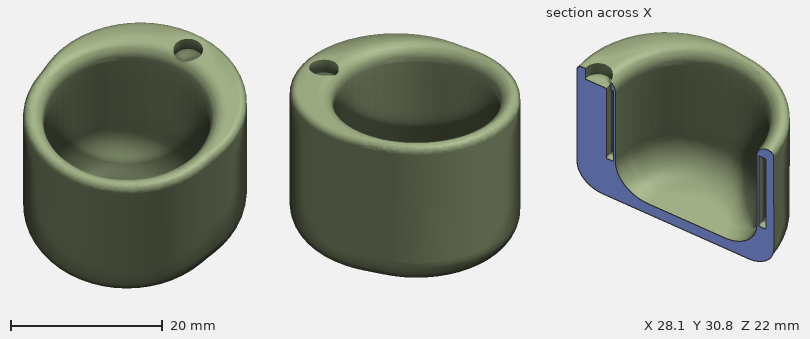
import cadquery as cq
import math

height = 22.0
front_radius = 13.7
back_radius = 14.04
back_center_y = 3.02
blend_radius = 50.0
base_fillet = 4.0
rim_fillet = 1.0

well_radius = 11.0
well_floor_z = 2.0
well_floor_fillet = 5.0
mouth_fillet = 2.0

pocket_diameter = 3.9
pocket_center_y = 13.7
pocket_depth = 2.0

channel_inner_diameter = 22.8
channel_outer_diameter = 24.8
channel_top_z = height - pocket_depth
channel_bottom_z = well_floor_z + well_floor_fillet


def body_outline():
    """Two round walls joined on each side by a hollow arc tangent to both."""
    front_reach = front_radius + blend_radius
    back_reach = back_radius + blend_radius
    blend_y = (front_reach**2 - back_reach**2 + back_center_y**2) / (2 * back_center_y)
    blend_x = math.sqrt(front_reach**2 - blend_y**2)

    front_x = blend_x * front_radius / front_reach
    front_y = blend_y * front_radius / front_reach
    back_x = blend_x * back_radius / back_reach
    back_y = back_center_y + (blend_y - back_center_y) * back_radius / back_reach
    middle_angle = math.atan2((front_y + back_y) / 2 - blend_y, (front_x + back_x) / 2 - blend_x)
    middle_x = blend_x + blend_radius * math.cos(middle_angle)
    middle_y = blend_y + blend_radius * math.sin(middle_angle)

    return (
        cq.Workplane("XY")
        .moveTo(-front_x, front_y)
        .threePointArc((0, -front_radius), (front_x, front_y))
        .threePointArc((middle_x, middle_y), (back_x, back_y))
        .threePointArc((0, back_center_y + back_radius), (-back_x, back_y))
        .threePointArc((-middle_x, middle_y), (-front_x, front_y))
        .close()
    )


def build_body():
    """Solid body with its bottom edge rounded."""
    body = body_outline().extrude(height)
    return body.faces("<Z").edges().fillet(base_fillet)


def build_well():
    """Round cavity with a rounded floor corner."""
    depth = height - well_floor_z
    well = cq.Workplane("XY").workplane(offset=well_floor_z).circle(well_radius).extrude(depth)
    return well.faces("<Z").edges().fillet(well_floor_fillet)


def round_well_mouth(body):
    rim_face = body.faces(">Z").val()
    mouth_edges = rim_face.innerWires()[0].Edges()
    return cq.Workplane(body.val().fillet(mouth_fillet, mouth_edges))


def round_outer_rim(body):
    """The rim fillet runs into the mouth fillet where the wall is thin."""
    rim_face = body.faces(">Z").val()
    outer_edges = rim_face.outerWire().Edges()
    return cq.Workplane(body.val().fillet(rim_fillet, outer_edges))


def build_pocket():
    return (
        cq.Workplane("XY")
        .workplane(offset=height - pocket_depth)
        .center(0, pocket_center_y)
        .circle(pocket_diameter / 2)
        .extrude(pocket_depth)
    )


def build_channel():
    return (
        cq.Workplane("XY")
        .workplane(offset=channel_bottom_z)
        .circle(channel_outer_diameter / 2)
        .circle(channel_inner_diameter / 2)
        .extrude(channel_top_z - channel_bottom_z)
    )


body = build_body().cut(build_well())
body = round_well_mouth(body)
body = round_outer_rim(body)
result = body.cut(build_pocket()).cut(build_channel())